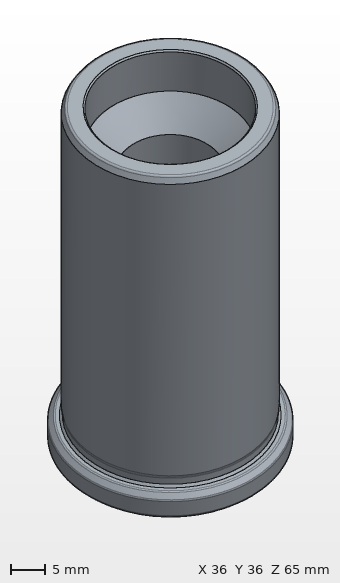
import cadquery as cq
import math

height = 65.0
body_radius = 32.0 / 2
flange_radius = 36.0 / 2
flange_height = 5.0

flange_chamfer = 1.0
flange_corner_round = 0.4

groove_radius = 31.7 / 2
groove_foot_size = 0.4
groove_wall_top = 6.55
groove_top = 7.15

lead_in_height = 1.1
lead_in_angle = math.radians(30)
lead_in_width = lead_in_height * math.tan(lead_in_angle)
lead_in_round = 0.45

mouth_radius = 25.0 / 2
hole_radius = 16.0 / 2
mouth_depth = 7.85
mouth_chamfer = 0.25
cone_top = height - mouth_depth
cone_bottom = cone_top - (mouth_radius - hole_radius)


def revolve_half_section(points):
    """Revolve a closed outline of (radius, height) points about Z."""
    outline = cq.Workplane("XZ").polyline(points).close()
    return outline.revolve(360, (0, 0, 0), (0, 1, 0))


def make_flange():
    disc = cq.Workplane("XY").circle(flange_radius).extrude(flange_height)
    chamfered = disc.edges("%CIRCLE").chamfer(flange_chamfer)
    return chamfered.edges("%CIRCLE").fillet(flange_corner_round)


def make_body():
    body = revolve_half_section([
        (0, 0),
        (groove_radius + groove_foot_size, 0),
        (groove_radius + groove_foot_size, flange_height),
        (groove_radius, flange_height + groove_foot_size),
        (groove_radius, groove_wall_top),
        (body_radius, groove_top),
        (body_radius, height - lead_in_height),
        (body_radius - lead_in_width, height),
        (0, height),
    ])
    return body.faces(">Z").edges().fillet(lead_in_round)


def make_bore():
    return revolve_half_section([
        (0, 0),
        (hole_radius, 0),
        (hole_radius, cone_bottom),
        (mouth_radius, cone_top),
        (mouth_radius, height - mouth_chamfer),
        (mouth_radius + mouth_chamfer, height),
        (0, height),
    ])


result = make_flange().union(make_body()).cut(make_bore())